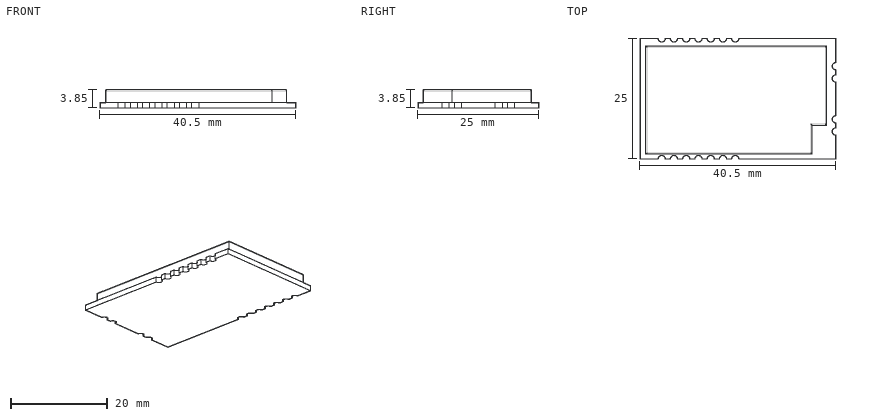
import cadquery as cq

board_length = 40.5
board_width = 25.0
board_thickness = 1.15
total_height = 3.85

lid_left = 1.15
lid_right = 38.6
lid_front = 1.0
lid_back = 23.45
lid_fillet = 0.3
lid_height = total_height - board_thickness

step_x = 35.6
step_y = 7.0

notch_radius = 0.73
long_edge_notches = 7
first_notch_x = 4.45
last_notch_x = 19.7
notch_pitch = (last_notch_x - first_notch_x) / (long_edge_notches - 1)
right_edge_notches = 2
right_edge_first_notches_y = (5.7, 16.7)


def make_board():
    return cq.Workplane("XY").box(board_length, board_width, board_thickness, centered=False)


def make_lid():
    outline = [
        (lid_left, lid_front),
        (step_x, lid_front),
        (step_x, step_y),
        (lid_right, step_y),
        (lid_right, lid_back),
        (lid_left, lid_back),
    ]
    lid = cq.Workplane("XY", origin=(0, 0, board_thickness)).polyline(outline).close().extrude(lid_height)
    return lid.faces(">Z").edges().fillet(lid_fillet)


def notch_centers():
    centers = []
    for edge_y in (0, board_width):
        for i in range(long_edge_notches):
            centers.append((first_notch_x + i * notch_pitch, edge_y))
    for first_y in right_edge_first_notches_y:
        for i in range(right_edge_notches):
            centers.append((board_length, first_y + i * notch_pitch))
    return centers


def make_notches():
    return cq.Workplane("XY").pushPoints(notch_centers()).circle(notch_radius).extrude(board_thickness)


result = make_board().cut(make_notches()).union(make_lid())